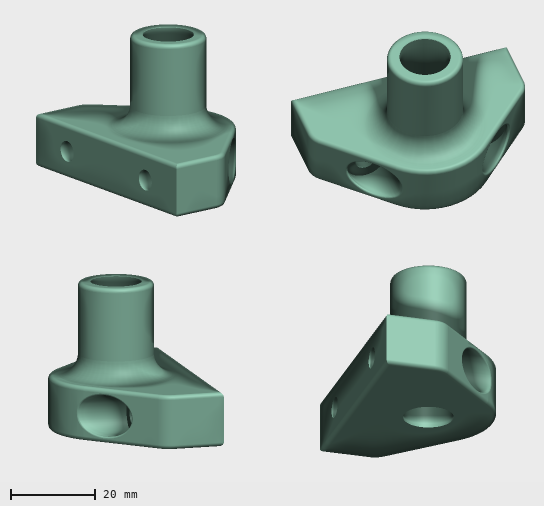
import cadquery as cq
import math

width = 54.0
depth = 34.5
base_height = 13.0
total_height = 35.5
nose_radius = 16.0
corner_radius = 5.0
edge_radius = 1.0

tube_diameter = 18.0
skirt_radius = 5.0
bore_diameter = 12.0
bore_mouth_diameter = 12.2

bolt_diameter = 5.0
bolt_spacing = 30.0
counterbore_diameter = 10.0
counterbore_floor = 18.9
counterbore_rim_radius = 0.4

half_width = width / 2
tube_y = depth - nose_radius
bolt_z = base_height / 2


def make_base():
    """Block whose 45 degree sides are tangent to the nose and the corner rounds."""
    nose_x = nose_radius * math.sqrt(0.5)
    nose_y = tube_y + nose_x
    shoulder_y = nose_y + nose_x - half_width
    block = (
        cq.Workplane("XY")
        .moveTo(-half_width, 0)
        .lineTo(half_width, 0)
        .lineTo(half_width, shoulder_y)
        .lineTo(nose_x, nose_y)
        .threePointArc((0, depth), (-nose_x, nose_y))
        .lineTo(-half_width, shoulder_y)
        .close()
        .extrude(base_height)
    )
    for side in (-1, 1):
        shoulder = cq.selectors.NearestToPointSelector((side * half_width, shoulder_y, bolt_z))
        block = block.edges(shoulder).fillet(corner_radius)
    return block.faces("<Z or >Z").edges().fillet(edge_radius)


def make_tube():
    """Solid post with a rounded top and a concave skirt onto the base."""
    radius = tube_diameter / 2
    bend = skirt_radius * (1 - math.sqrt(0.5))
    crown = edge_radius * (1 - math.sqrt(0.5))
    return (
        cq.Workplane("XZ")
        .moveTo(0, bolt_z)
        .lineTo(radius + skirt_radius, bolt_z)
        .lineTo(radius + skirt_radius, base_height)
        .threePointArc((radius + bend, base_height + bend), (radius, base_height + skirt_radius))
        .lineTo(radius, total_height - edge_radius)
        .threePointArc(
            (radius - crown, total_height - crown), (radius - edge_radius, total_height)
        )
        .lineTo(0, total_height)
        .close()
        .revolve(360, (0, 0, 0), (0, 1, 0))
        .translate((0, tube_y, 0))
    )


def make_bore():
    """Through bore with a slight countersink at its top mouth."""
    radius = bore_diameter / 2
    mouth_radius = bore_mouth_diameter / 2
    return (
        cq.Workplane("XZ")
        .lineTo(radius, 0)
        .lineTo(radius, total_height - (mouth_radius - radius))
        .lineTo(mouth_radius, total_height)
        .lineTo(0, total_height)
        .close()
        .revolve(360, (0, 0, 0), (0, 1, 0))
        .translate((0, tube_y, 0))
    )


def y_cylinder(x, diameter, start_y):
    """Cylinder at bolt height from start_y to the back of the part."""
    plane = cq.Workplane("XZ", origin=(x, start_y, bolt_z))
    return plane.circle(diameter / 2).extrude(start_y - depth)


def cut_bolt_hole(body, x):
    """Cut one counterbored bolt hole and round the mouth of its counterbore."""
    body = body.cut(y_cylinder(x, counterbore_diameter, counterbore_floor))
    mouth = cq.selectors.BoxSelector(
        (x - counterbore_diameter, counterbore_floor + edge_radius / 2, edge_radius),
        (x + counterbore_diameter, depth, base_height - edge_radius),
        boundingbox=True,
    )
    body = body.edges(mouth).edges("not |Z").edges("not |Y").fillet(counterbore_rim_radius)
    return body.cut(y_cylinder(x, bolt_diameter, 0))


result = make_base().union(make_tube()).cut(make_bore())
for bolt_x in (-bolt_spacing / 2, bolt_spacing / 2):
    result = cut_bolt_hole(result, bolt_x)